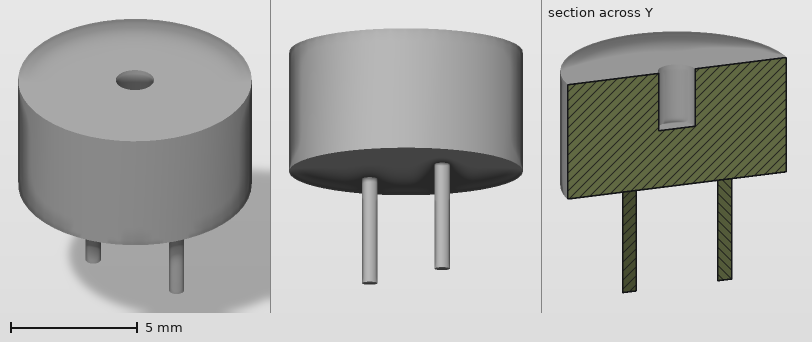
import cadquery as cq

housing_diameter = 9.2
housing_height = 4.8
sound_hole_diameter = 1.5
sound_hole_depth = housing_height / 2

pin_diameter = 0.6
pin_length = 4.2
pin_pitch = 4.0


def make_housing():
    """Solid cylinder with a blind sound hole in the middle of its top face."""
    body = cq.Workplane("XY").circle(housing_diameter / 2).extrude(housing_height)
    return body.faces(">Z").workplane().hole(sound_hole_diameter, sound_hole_depth)


def make_pin(x):
    """Straight round pin that hangs from the underside of the housing."""
    return cq.Workplane("XY").center(x, 0).circle(pin_diameter / 2).extrude(-pin_length)


housing = make_housing()
pins = [make_pin(side * pin_pitch / 2) for side in (-1, 1)]

result = cq.Compound.makeCompound([housing.val(), *[pin.val() for pin in pins]])